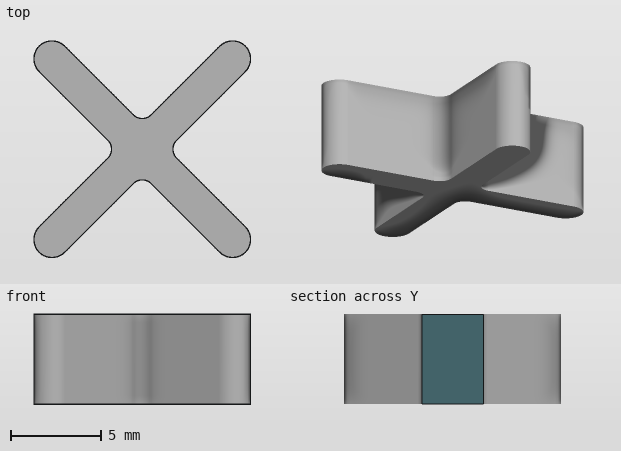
import cadquery as cq
import math

overall_span = 12.0
height = 5.0
arm_width = 2.0
arm_angle = 45
inner_fillet_radius = 0.7

end_radius = arm_width / 2
end_centre_offset = overall_span / 2 - end_radius
bar_length = 2 * math.sqrt(2) * end_centre_offset + arm_width

inner_corner_distance = end_radius * math.sqrt(2)
selection_margin = 0.1


def diagonal_bar(angle):
    """Round-ended bar through the centre, turned to the given angle."""
    return cq.Workplane("XY").slot2D(bar_length, arm_width, angle).extrude(height)


def fillet_inner_corners(cross):
    """Round the four vertical edges where the arms meet."""
    half_box = inner_corner_distance + selection_margin
    corner_edges = cq.selectors.BoxSelector(
        (-half_box, -half_box, -selection_margin),
        (half_box, half_box, height + selection_margin),
    )
    return cross.edges("|Z").edges(corner_edges).fillet(inner_fillet_radius)


cross = diagonal_bar(arm_angle).union(diagonal_bar(-arm_angle))
result = fillet_inner_corners(cross)